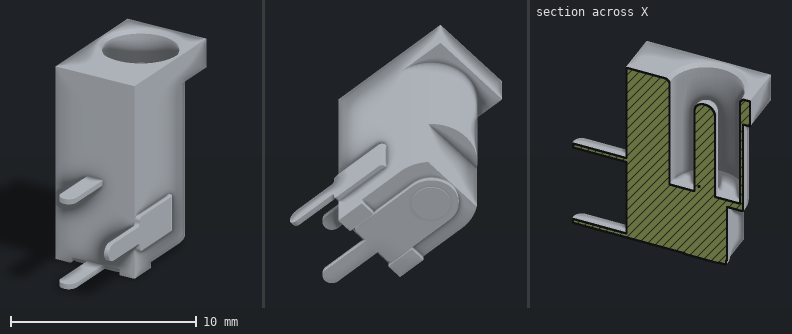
import cadquery as cq


HEIGHT = 11.4
WIDTH = 5.0
DEPTH = 7.4
BACK_Y = 2.7
FRONT_Y = BACK_Y - DEPTH
HEAD_HEIGHT = 1.7
HEAD_BOTTOM = HEIGHT - HEAD_HEIGHT
HALF_WIDTH = WIDTH / 2
ROUND_Y = -0.2
LEDGE_HEIGHT = 3.91
LEDGE_Y = 1.33

BORE_RADIUS = 2.1
BORE_MOUTH_RADIUS = 2.3
MOUTH_DEPTH = 0.2
LEDGE_WALL = 0.49
BORE_FLOOR = LEDGE_HEIGHT + LEDGE_WALL
PIN_RADIUS = 0.65
PIN_RECESS = 1.0
PIN_TOP = HEIGHT - PIN_RECESS

SHEET = 0.3
CLEARANCE = 0.05
LEG_WIDTH = 1.0
LEG_LENGTH = 3.2
LEG_TIP_Y = FRONT_Y - LEG_LENGTH
UPPER_LEG_Z = 5.07
LEG_ROOT = 0.23

RECESS_DEPTH = SHEET + CLEARANCE
RECESS_FRONT_Y = -3.0
SLOT_WIDTH = 3.1
PLATE_RADIUS = 1.49
PLATE_INSET = 0.2
PLATE_FRONT_Y = FRONT_Y + PLATE_INSET
PLATE_CORNER_RADIUS = 0.22
RIVET_RADIUS = 1.05

SIDE_Z = 2.69
SIDE_HEIGHT = 2.03
SIDE_BACK_Y = -1.19
SIDE_CORNER_RADIUS = 0.2
SIDE_INNER_X = HALF_WIDTH + CLEARANCE
BEND_RADIUS = SHEET
TAB_ROOT = 0.23


def block(x0, x1, y0, y1, z0, z1):
    """Box between two corners."""
    return cq.Workplane("XY").box(x1 - x0, y1 - y0, z1 - z0, centered=False).translate((x0, y0, z0))


def rounded_back_prism(half_width, front_y, height):
    """Prism with a straight front and a half-round back."""
    return (
        cq.Workplane("XY")
        .moveTo(-half_width, front_y)
        .lineTo(half_width, front_y)
        .lineTo(half_width, ROUND_Y)
        .threePointArc((0, ROUND_Y + half_width), (-half_width, ROUND_Y))
        .close()
        .extrude(height)
    )


def leg(root_y):
    """Flat leg with a round tip, lying on the XY plane and pointing to -Y."""
    half = LEG_WIDTH / 2
    return (
        cq.Workplane("XY")
        .moveTo(half, root_y)
        .lineTo(half, LEG_TIP_Y + half)
        .threePointArc((0, LEG_TIP_Y), (-half, LEG_TIP_Y + half))
        .lineTo(-half, root_y)
        .close()
        .extrude(SHEET)
    )


def housing():
    """Square head on a column with a rounded back, recessed underneath."""
    column = rounded_back_prism(HALF_WIDTH, FRONT_Y, HEIGHT)
    head = block(-HALF_WIDTH, HALF_WIDTH, FRONT_Y, BACK_Y, HEAD_BOTTOM, HEIGHT)
    ledge = block(-HALF_WIDTH, HALF_WIDTH, LEDGE_Y, BACK_Y, 0, LEDGE_HEIGHT)
    recess = block(-HALF_WIDTH, HALF_WIDTH, RECESS_FRONT_Y, BACK_Y, 0, RECESS_DEPTH)
    slot = block(-SLOT_WIDTH / 2, SLOT_WIDTH / 2, FRONT_Y, RECESS_FRONT_Y, 0, RECESS_DEPTH)
    return column.union(head).cut(ledge).cut(recess).cut(slot)


def socket_bore():
    """Blind bore with a conical mouth."""
    return (
        cq.Workplane("XZ")
        .moveTo(0, BORE_FLOOR)
        .lineTo(BORE_RADIUS, BORE_FLOOR)
        .lineTo(BORE_RADIUS, HEIGHT - MOUTH_DEPTH)
        .lineTo(BORE_MOUTH_RADIUS, HEIGHT)
        .lineTo(0, HEIGHT)
        .close()
        .revolve(360, (0, 0), (0, 1))
    )


def centre_pin():
    """Round pin with a ball end, rooted in the bore floor."""
    shoulder = PIN_TOP - PIN_RADIUS
    base = cq.Workplane("XY").workplane(offset=LEDGE_HEIGHT)
    shaft = base.circle(PIN_RADIUS).extrude(shoulder - LEDGE_HEIGHT)
    ball = cq.Workplane("XY").sphere(PIN_RADIUS).translate((0, 0, shoulder))
    return shaft.union(ball)


def base_terminal():
    """Plate under the housing with its leg and a shallow rivet head."""
    plate = rounded_back_prism(PLATE_RADIUS, PLATE_FRONT_Y, SHEET)
    plate = plate.edges("|Z and <Y").fillet(PLATE_CORNER_RADIUS)
    plate = plate.union(leg(RECESS_FRONT_Y)).translate((0, 0, CLEARANCE))
    rivet = cq.Workplane("XY").center(0, ROUND_Y).circle(RIVET_RADIUS).extrude(RECESS_DEPTH)
    return plate.union(rivet)


def side_terminal():
    """Upright plate beside the housing, bent into the side wall, with a leg."""
    half = SIDE_HEIGHT / 2
    bend_start_y = SIDE_BACK_Y - BEND_RADIUS
    plate = block(-half, half, FRONT_Y, bend_start_y, 0, SHEET)
    plate = plate.edges("|Z and <Y").fillet(SIDE_CORNER_RADIUS)
    plate = plate.union(leg(bend_start_y))
    inner_corners = [(x, FRONT_Y, SHEET / 2) for x in (-LEG_WIDTH / 2, LEG_WIDTH / 2)]
    for corner in inner_corners:
        plate = plate.edges(cq.selectors.NearestToPointSelector(corner)).fillet(SIDE_CORNER_RADIUS)
    plate = plate.rotate((0, 0, 0), (0, 1, 0), 90).translate((SIDE_INNER_X, 0, SIDE_Z))
    tab = (
        cq.Workplane("XY")
        .workplane(offset=SIDE_Z - half)
        .moveTo(HALF_WIDTH - TAB_ROOT, bend_start_y)
        .lineTo(HALF_WIDTH - TAB_ROOT, SIDE_BACK_Y)
        .lineTo(SIDE_INNER_X, SIDE_BACK_Y)
        .radiusArc((SIDE_INNER_X + BEND_RADIUS, bend_start_y), BEND_RADIUS)
        .close()
        .extrude(SIDE_HEIGHT)
    )
    return plate.union(tab)


result = housing().cut(socket_bore()).union(centre_pin())
result = result.union(leg(FRONT_Y + LEG_ROOT).translate((0, 0, UPPER_LEG_Z)))
result = result.union(base_terminal()).union(side_terminal())